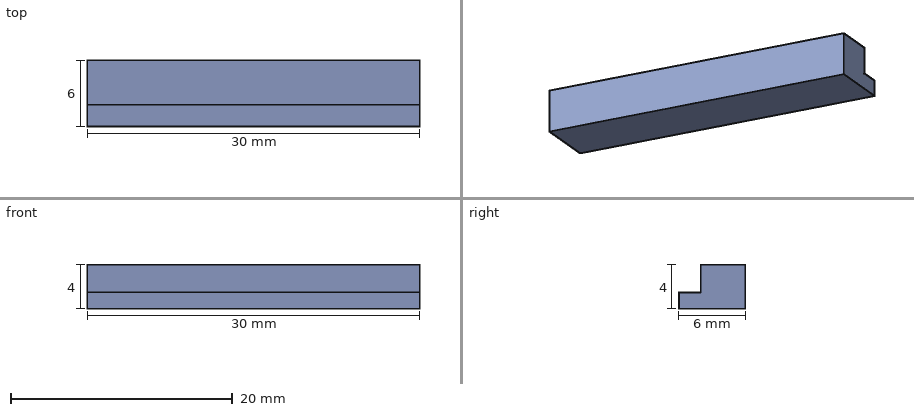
import cadquery as cq

length = 30.0
depth = 6.0
height = 4.0
lip_height = 1.5
lip_depth = 1.98

section = [
    (0, 0),
    (depth, 0),
    (depth, height),
    (lip_depth, height),
    (lip_depth, lip_height),
    (0, lip_height),
]

result = cq.Workplane("YZ").polyline(section).close().extrude(length)